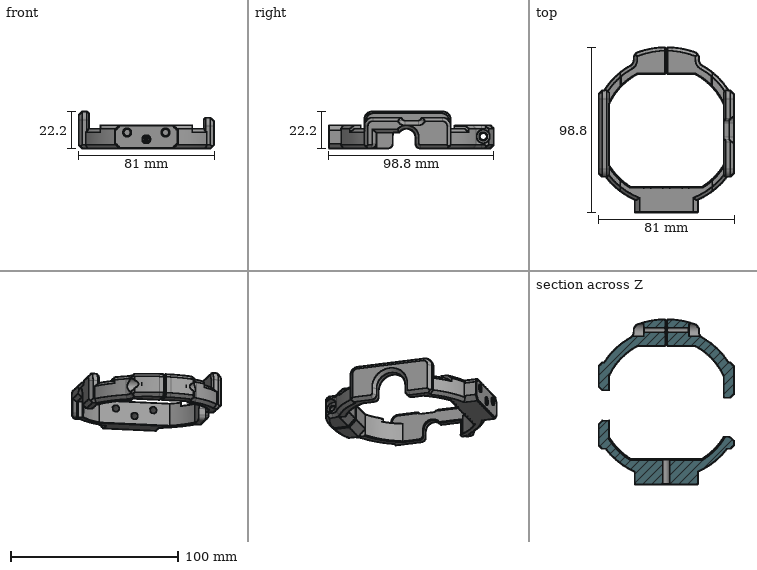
import cadquery as cq
import math

total_width = 81.0
total_length = 98.75
edge_chamfer = 2.2
small_chamfer = 0.5

low_height = 11.9
raised_height = 14.0
raised_half_width = 27.5
arch_half_width = 37.5
back_start = 14.8
back_outer_radius = 44.0
back_inner_radius = 37.5
back_flat = 33.4
back_rim_chamfer = 0.4
back_foot_chamfer = 0.6
back_step_chamfer = 0.6
front_start = 20.7
front_outer_radius = 45.8
front_inner_radius = 40.8
front_flat = 34.7
front_lip = 0.6

lug_half_width = 19.6
lug_flat_half = 3.5
lug_bevel = 1.7
lug_fillet = 3.95
lug_underside_chamfer = 4.4
split_width = 0.7
clamp_hole_y = 43.0
clamp_hole_z = 7.2
counterbore_diameter = 8.0
counterbore_depth = 5.9

pad_half_width = 19.0
pad_chamfer = 3.0
pad_hole_spacing = 22.9
pad_side_hole_z = 9.6
pad_middle_hole_z = 5.5
hole_diameter = 4.0

plate_thickness = 6.3
plate_length = 51.6
plate_center_y = -2.3
left_plate_height = 22.2
right_plate_height = 18.5
plate_corner_radius = 4.9
plate_inner_chamfer = 1.3
foot_radius = 3.0

left_arch_radius = 9.0
left_arch_y = 0.2
left_arch_z = 6.8
right_arch_radius = 5.2
right_arch_y = -0.6
right_arch_z = 6.5
right_slot_end = -18.8
right_slot_height = 9.5
notch_y = 2.4
notch_floor_half = 4.0
notch_depth = 1.8
notch_bend = 1.5
notch_flare = 2.9

half_width = total_width / 2
half_length = total_length / 2
lug_radius = math.hypot(lug_flat_half, half_length)
plate_inner_x = half_width - plate_thickness
plate_half_length = plate_length / 2
hole_radius = hole_diameter / 2
reach = 2 * total_length


def circle_offset(radius, distance):
    """Half chord of a circle at a distance from its centre."""
    return math.sqrt(radius**2 - distance**2)


def box(x_range, y_range, z_range):
    lows, highs = zip(x_range, y_range, z_range)
    sides = [high - low for low, high in zip(lows, highs)]
    return cq.Workplane("XY").box(*sides, centered=False).translate(lows)


def back_outline():
    """Half disc with the clamp lug standing on it."""
    fillet_x = lug_half_width + lug_fillet
    fillet_y = circle_offset(back_outer_radius + lug_fillet, fillet_x)
    meet_angle = math.atan2(fillet_y, fillet_x)

    def ring_point(angle):
        return back_outer_radius * math.cos(angle), back_outer_radius * math.sin(angle)

    ring_mid = ring_point(meet_angle / 2)
    meet = ring_point(meet_angle)
    fillet_mid = (
        fillet_x - lug_fillet * math.cos(meet_angle / 2),
        fillet_y - lug_fillet * math.sin(meet_angle / 2),
    )
    side_start = (lug_half_width, fillet_y)
    side_end = (lug_half_width, circle_offset(lug_radius, lug_half_width))
    top_mid_x = (lug_half_width + lug_flat_half) / 2
    top_mid = (top_mid_x, circle_offset(lug_radius, top_mid_x))
    top_end = (lug_flat_half, half_length)

    def left(point):
        return -point[0], point[1]

    return (
        cq.Workplane("XY")
        .moveTo(back_outer_radius, 0)
        .threePointArc(ring_mid, meet)
        .threePointArc(fillet_mid, side_start)
        .lineTo(*side_end)
        .threePointArc(top_mid, top_end)
        .lineTo(*left(top_end))
        .threePointArc(left(top_mid), left(side_end))
        .lineTo(*left(side_start))
        .threePointArc(left(fillet_mid), left(meet))
        .threePointArc(left(ring_mid), (-back_outer_radius, 0))
        .close()
    )


def front_outline():
    return (
        cq.Workplane("XY")
        .moveTo(-front_outer_radius, 0)
        .threePointArc((0, -front_outer_radius), (front_outer_radius, 0))
        .close()
    )


def opening(radius, flat, z_start, height, growth):
    """Round hole with a flat front and back whose walls move outward by growth."""
    round_part = (
        cq.Workplane("XY", origin=(0, 0, z_start))
        .circle(radius)
        .workplane(offset=height)
        .circle(radius + growth)
        .loft()
    )
    flat_part = (
        cq.Workplane("XY", origin=(0, 0, z_start))
        .rect(reach, 2 * flat)
        .workplane(offset=height)
        .rect(reach, 2 * (flat + growth))
        .loft()
    )
    return round_part.intersect(flat_part)


def back_opening(top):
    """Straight hole with chamfered top and bottom rims."""
    straight = opening(back_inner_radius, back_flat, 0, top, 0)
    rim = opening(back_inner_radius, back_flat, top - back_rim_chamfer, back_rim_chamfer, back_rim_chamfer)
    foot = opening(
        back_inner_radius + back_foot_chamfer,
        back_flat + back_foot_chamfer,
        0,
        back_foot_chamfer,
        -back_foot_chamfer,
    )
    return straight.union(rim).union(foot)


def front_opening(top):
    """Straight hole with a narrow sloped lip at the underside."""
    straight = opening(front_inner_radius, front_flat, front_lip, top - front_lip, 0)
    lip = opening(front_inner_radius - front_lip, front_flat - front_lip, 0, front_lip, front_lip)
    return straight.union(lip)


def arch_tier(outline, diameter_side, y_range, height):
    """Half disc with chamfered outer rims, kept only where it leaves the plates."""
    body = outline().extrude(height)
    body = body.faces("|Z").edges(f"not {diameter_side}").chamfer(edge_chamfer)
    return body.intersect(box((-arch_half_width, arch_half_width), y_range, (0, height)))


def back_arch():
    y_range = (back_start, half_length)
    low = arch_tier(back_outline, "<Y", y_range, low_height).cut(back_opening(low_height))
    step = box((-raised_half_width, raised_half_width), y_range, (0, raised_height))
    step = step.edges("|Y and >Z").chamfer(back_step_chamfer)
    raised = arch_tier(back_outline, "<Y", y_range, raised_height).intersect(step)
    return low.union(raised.cut(back_opening(raised_height)))


def front_arch():
    y_range = (-half_length, -front_start)
    low = arch_tier(front_outline, ">Y", y_range, low_height).cut(front_opening(low_height))
    step = box((-raised_half_width, raised_half_width), y_range, (0, raised_height))
    raised = arch_tier(front_outline, ">Y", y_range, raised_height).intersect(step)
    raised = raised.union(pad())
    return low.union(raised.cut(front_opening(raised_height)))


def lug_bevel_cutter():
    """Upright bevel on the outer corner of the lug on the +X side."""
    corner_y = circle_offset(lug_radius, lug_half_width)
    start = (lug_half_width, corner_y - lug_bevel)
    end_x = lug_half_width - lug_bevel
    end = (end_x, circle_offset(lug_radius, end_x))
    outside = (lug_half_width, half_length)
    return cq.Workplane("XY").polyline([start, outside, end]).close().extrude(raised_height)


def lug_underside_cutter():
    """45 degree chamfer under the flat inner face of the lug."""
    flat_half = circle_offset(back_inner_radius, back_flat)
    return (
        cq.Workplane("YZ", origin=(-flat_half, back_flat, 0))
        .lineTo(lug_underside_chamfer, 0)
        .lineTo(0, lug_underside_chamfer)
        .close()
        .extrude(2 * flat_half)
    )


def clamp_hole_cutter():
    """Screw hole along +X with a chamfered mouth in a counterbored seat."""
    seat_x = lug_half_width - counterbore_depth

    def axis_plane(x):
        return cq.Workplane("YZ", origin=(x, clamp_hole_y, clamp_hole_z))

    hole = axis_plane(0).circle(hole_radius).extrude(seat_x)
    mouth = (
        axis_plane(seat_x - small_chamfer)
        .circle(hole_radius)
        .workplane(offset=small_chamfer)
        .circle(hole_radius + small_chamfer)
        .loft()
    )
    bore = axis_plane(seat_x).circle(counterbore_diameter / 2).extrude(reach)
    return hole.union(mouth).union(bore)


def split(body):
    """Slot through the lug with bevelled rims."""
    half = split_width / 2
    body = body.cut(box((-half, half), (0, reach), (0, raised_height)))
    slot_zone = cq.selectors.BoxSelector((-split_width, 0, 0), (split_width, reach, raised_height))
    return body.faces("|X").faces(slot_zone).edges().chamfer(small_chamfer)


def pad():
    depth = half_length - front_flat + front_lip
    return (
        cq.Workplane("XZ", origin=(0, depth - half_length, raised_height / 2))
        .rect(2 * pad_half_width, raised_height)
        .extrude(depth)
        .edges("|Y")
        .chamfer(pad_chamfer)
        .faces("<Y")
        .edges()
        .chamfer(small_chamfer)
    )


def pad_hole(x, z):
    """Through hole along Y with a chamfered mouth."""
    mouth_plane = cq.Workplane("XZ", origin=(x, -half_length, z))
    mouth = (
        mouth_plane.circle(hole_radius + small_chamfer)
        .workplane(offset=-small_chamfer)
        .circle(hole_radius)
        .loft()
    )
    return mouth_plane.circle(hole_radius).extrude(-half_length).union(mouth)


def plate_sketch(x=plate_inner_x, y=0, z=0):
    return cq.Workplane("YZ", origin=(x, plate_center_y + y, z))


def plate(height, cutter):
    """Plate with rounded top corners, a cut-out from below and chamfered rims."""
    body = (
        plate_sketch(z=height / 2)
        .rect(plate_length, height)
        .extrude(plate_thickness)
        .edges("|X and >Z")
        .fillet(plate_corner_radius)
    )
    body = body.faces("<X").edges("not <Z").chamfer(plate_inner_chamfer)
    body = body.cut(cutter)
    inset = plate_half_length - edge_chamfer
    feet_zone = cq.selectors.BoxSelector(
        (0, plate_center_y - inset, -1), (reach, plate_center_y + inset, 1)
    )
    body = body.edges("|X").edges(feet_zone).fillet(foot_radius)
    body = body.faces(">X").edges().chamfer(edge_chamfer)
    for side in (-1, 1):
        bevel = (
            plate_sketch(y=side * plate_half_length)
            .lineTo(0, edge_chamfer)
            .lineTo(-side * edge_chamfer, 0)
            .close()
            .extrude(plate_thickness)
        )
        body = body.cut(bevel)
    return body


def left_plate():
    r = left_arch_radius
    arch = (
        plate_sketch(y=left_arch_y)
        .moveTo(-r, 0)
        .lineTo(-r, left_arch_z)
        .threePointArc((0, left_arch_z + r), (r, left_arch_z))
        .lineTo(r, 0)
        .close()
        .extrude(plate_thickness)
    )
    return plate(left_plate_height, arch).mirror("YZ")


def right_plate():
    r = right_arch_radius
    arch_end = right_arch_y + r
    meet_y = right_arch_y - circle_offset(r, right_slot_height - right_arch_z)
    slot = (
        plate_sketch()
        .moveTo(right_slot_end, 0)
        .lineTo(right_slot_end, right_slot_height)
        .lineTo(meet_y, right_slot_height)
        .threePointArc((right_arch_y, right_arch_z + r), (arch_end, right_arch_z))
        .lineTo(arch_end, 0)
        .close()
        .extrude(plate_thickness)
    )
    body = plate(right_plate_height, slot)
    slot_zone = cq.selectors.BoxSelector(
        (0, plate_center_y + right_slot_end - foot_radius, 0),
        (reach, plate_center_y + arch_end + foot_radius, right_arch_z + r + small_chamfer),
    )
    body = body.faces("<X").edges("not <Z").edges(slot_zone).chamfer(small_chamfer)
    return body.cut(notch_cutter())


def notch_cutter():
    """Shallow dip in the top edge with S-shaped ends, widening toward the outside."""
    half_depth = notch_depth / 2
    bend_angle = 2 * math.atan(half_depth / notch_bend)
    bend_radius = notch_bend / math.sin(bend_angle)
    mid_y = bend_radius * math.sin(bend_angle / 2)
    mid_z = bend_radius * (1 - math.cos(bend_angle / 2))
    bend_y = notch_floor_half + notch_bend
    rim_y = bend_y + notch_bend
    slope_height = notch_depth + notch_flare
    slope_y = bend_y + (slope_height - half_depth) / math.tan(bend_angle)
    floor_z = right_plate_height - notch_depth

    def half_floor(x):
        """From one end of the floor, across it and up the first bend."""
        return (
            plate_sketch(x, notch_y, floor_z)
            .moveTo(-bend_y, half_depth)
            .threePointArc((-notch_floor_half - mid_y, mid_z), (-notch_floor_half, 0))
            .lineTo(notch_floor_half, 0)
            .threePointArc((notch_floor_half + mid_y, mid_z), (bend_y, half_depth))
        )

    dip = (
        half_floor(plate_inner_x)
        .threePointArc((rim_y - mid_y, notch_depth - mid_z), (rim_y, notch_depth))
        .lineTo(-rim_y, notch_depth)
        .threePointArc((mid_y - rim_y, notch_depth - mid_z), (-bend_y, half_depth))
        .close()
        .extrude(plate_thickness)
    )
    flare = (
        half_floor(half_width - notch_flare)
        .lineTo(slope_y, slope_height)
        .lineTo(-slope_y, slope_height)
        .close()
        .extrude(notch_flare, taper=-45)
    )
    return dip.union(flare)


back = split(back_arch().cut(lug_underside_cutter()))
for cutter in (lug_bevel_cutter(), clamp_hole_cutter()):
    back = back.cut(cutter).cut(cutter.mirror("YZ"))

front = front_arch()
for hole_x, hole_z in (
    (-pad_hole_spacing / 2, pad_side_hole_z),
    (0, pad_middle_hole_z),
    (pad_hole_spacing / 2, pad_side_hole_z),
):
    front = front.cut(pad_hole(hole_x, hole_z))

result = left_plate().union(right_plate()).union(back).union(front)